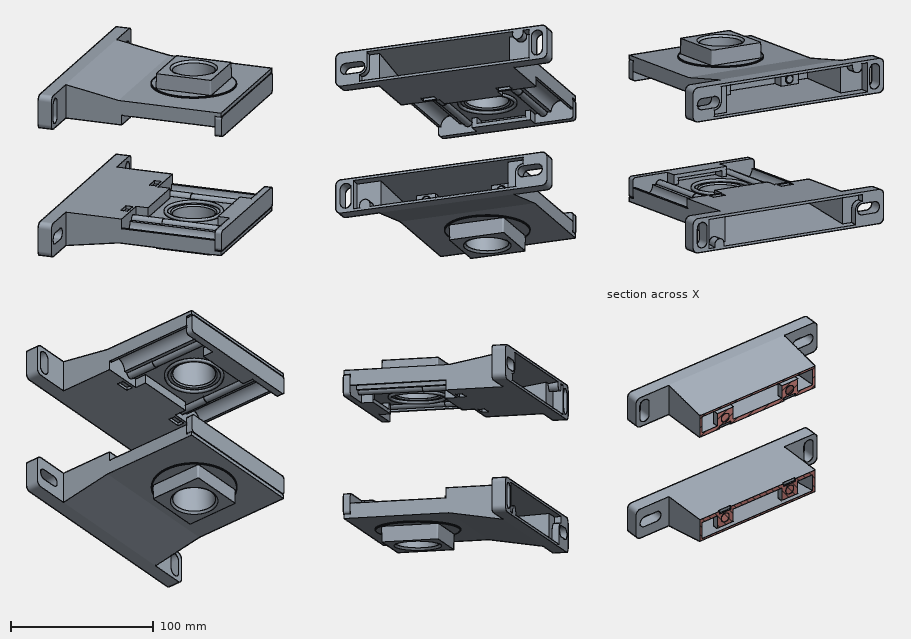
import cadquery as cq
OVERALL_LENGTH = 127.0
OVERALL_HEIGHT = 130.2
HALF_GAP = 35.0
HALF_HEIGHT = OVERALL_HEIGHT / 2 - HALF_GAP

FLANGE_LENGTH = 160.0
FLANGE_HEIGHT = 25.0
FLANGE_THICKNESS = 10.0
FLANGE_CORNER_RADIUS = 4.0
SLOT_WIDTH = 8.2
SLOT_LENGTH = 18.4
FLAT_SLOT_Y = 67.2
UPRIGHT_SLOT_Y = -72.5

WALL = 2.0
FLAT_SIDE_POCKET_DEPTH = 5.0
FAR_SIDE_POCKET_DEPTH = 7.2
POCKET_FLAT_SIDE_Y = 56.3
POCKET_FAR_SIDE_Y = -66.5
SLOT_RELIEF_RADIUS = 5.8
BUMP_WIDTH = 7.8
BUMP_Y = -58.0
BUMP_TIP_Z = 17.1
CAVITY_WIDTH = 97.3
CAVITY_END_X = 50.0
CAVITY_END_FLOOR_Z = 3.7

BODY_WIDTH = 102.0
PLATE_TOP_Z = 18.0
SLOPE_END_X = 50.0
PLATE_OVERHANG_GAP = 0.5
FLOOR_Z = 7.2
FLOOR_START_X = 52.0
TAB_WIDTH = 44.2
BODY_TAB_LENGTH = 9.0
TROUGH_RADIUS = 7.4
TROUGH_Y = 41.8

NOZZLE_X = 87.0
BORE_DIAMETER = 30.2
BORE_CHAMFER = 1.6
BORE_INNER_CHAMFER = 1.1
DISC_DIAMETER = 60.5
DISC_HEIGHT = 1.0
DISC_CHAMFER = 0.5
SQUARE_SIDE = 42.0
SQUARE_CORNER_RADIUS = 1.3
SQUARE_DRAFT = 2.0

RING_OUTER_DIAMETER = 42.0
RING_INNER_DIAMETER = 37.0
RING_SINK = 0.6

PIN_Y = 28.5
PIN_Z = 7.5
PIN_DIAMETER = 6.5
PIN_TIP_DIAMETER = 6.0
PIN_SHOULDER_X = 74.9
PIN_CHAMFER = 0.6
BOSS_WIDTH = 14.4
BOSS_TOP_Z = 14.0
BOSS_START_X = 42.0
NUT_SLOT_WIDTH = 10.0
NUT_SLOT_LENGTH = 5.0
NUT_SLOT_DEPTH = 2.4

CAP_THICKNESS = 5.1
CAP_HEIGHT = 15.0
CAP_CORNER_RADIUS = 2.4
CAP_TAB_LENGTH = 8.5
CAP_LEG_WIDTH = 3.8
CAP_BRIDGE_HEIGHT = 2.7

CAP_X = OVERALL_LENGTH - CAP_THICKNESS
BODY_END_X = OVERALL_LENGTH - PLATE_OVERHANG_GAP
FLANGE_MIDDLE_Z = FLANGE_HEIGHT / 2


def block(x_start, x_end, y_middle, width, z_start, z_end):
    """Box between two X and two Z positions, centred on y_middle."""
    length = x_end - x_start
    height = z_end - z_start
    box = cq.Workplane("XY").box(length, width, height, centered=(False, True, False))
    return box.translate((x_start, y_middle, z_start))


def rod(diameter, x_start, x_end, y, z):
    """Cylinder along X."""
    plane = cq.Workplane("YZ", origin=(x_start, y, z))
    return plane.circle(diameter / 2).extrude(x_end - x_start)


def make_outer_form():
    flange = block(0, FLANGE_THICKNESS, 0, FLANGE_LENGTH, 0, FLANGE_HEIGHT)
    flange = flange.edges("|X").fillet(FLANGE_CORNER_RADIUS)
    side_outline = [
        (FLANGE_THICKNESS, 0),
        (FLANGE_THICKNESS, FLANGE_HEIGHT),
        (SLOPE_END_X, PLATE_TOP_Z),
        (BODY_END_X, PLATE_TOP_Z),
        (BODY_END_X, CAP_HEIGHT),
        (CAP_X, CAP_HEIGHT),
        (CAP_X, FLOOR_Z),
        (FLOOR_START_X, FLOOR_Z),
        (FLOOR_START_X, 0),
    ]
    neck = cq.Workplane("XZ").polyline(side_outline).close().extrude(BODY_WIDTH / 2, both=True)
    tab = block(FLOOR_START_X, FLOOR_START_X + BODY_TAB_LENGTH, 0, TAB_WIDTH, 0, FLOOR_Z)
    return flange.union(neck).union(tab)


def make_flange_slots():
    flat = cq.Workplane("YZ", origin=(0, FLAT_SLOT_Y, FLANGE_MIDDLE_Z))
    flat = flat.slot2D(SLOT_LENGTH, SLOT_WIDTH).extrude(FLANGE_THICKNESS)
    upright = cq.Workplane("YZ", origin=(0, UPRIGHT_SLOT_Y, FLANGE_MIDDLE_Z))
    upright = upright.slot2D(SLOT_LENGTH, SLOT_WIDTH, 90).extrude(FLANGE_THICKNESS)
    return flat.union(upright)


def make_cavity():
    """Hollow with sloping roof and floor, wider where it opens in the flange."""
    top_z = FLANGE_HEIGHT - WALL
    relief_y = POCKET_FLAT_SIDE_Y + SLOT_RELIEF_RADIUS
    relief_z = FLANGE_MIDDLE_Z - SLOT_RELIEF_RADIUS
    diagonal = SLOT_RELIEF_RADIUS * 0.5 ** 0.5
    bump_radius = BUMP_WIDTH / 2
    bump_centre_z = BUMP_TIP_Z + bump_radius
    opening = (
        cq.Workplane("YZ")
        .moveTo(POCKET_FLAT_SIDE_Y, top_z)
        .lineTo(POCKET_FLAT_SIDE_Y, FLANGE_MIDDLE_Z)
        .threePointArc((relief_y - diagonal, FLANGE_MIDDLE_Z - diagonal), (relief_y, relief_z))
        .lineTo(relief_y, WALL)
        .lineTo(POCKET_FAR_SIDE_Y, WALL)
        .lineTo(POCKET_FAR_SIDE_Y, top_z)
        .lineTo(BUMP_Y - bump_radius, top_z)
        .lineTo(BUMP_Y - bump_radius, bump_centre_z)
        .threePointArc((BUMP_Y, BUMP_TIP_Z), (BUMP_Y + bump_radius, bump_centre_z))
        .lineTo(BUMP_Y + bump_radius, top_z)
        .close()
        .extrude(FAR_SIDE_POCKET_DEPTH)
    )
    flat_side_back = block(
        FLAT_SIDE_POCKET_DEPTH, FAR_SIDE_POCKET_DEPTH, FLANGE_LENGTH / 4, FLANGE_LENGTH / 2, 0, FLANGE_HEIGHT
    )
    opening = opening.cut(flat_side_back)
    deep_part = block(0, CAVITY_END_X, 0, CAVITY_WIDTH, 0, FLANGE_HEIGHT)
    slopes = (
        cq.Workplane("XZ")
        .polyline([
            (0, WALL),
            (0, top_z),
            (CAVITY_END_X, PLATE_TOP_Z - WALL),
            (CAVITY_END_X, CAVITY_END_FLOOR_Z),
        ])
        .close()
        .extrude(FLANGE_LENGTH / 2, both=True)
    )
    return opening.union(deep_part).intersect(slopes)


def add_nozzle(body):
    disc = cq.Workplane("XY", origin=(NOZZLE_X, 0, PLATE_TOP_Z)).circle(DISC_DIAMETER / 2)
    disc = disc.extrude(DISC_HEIGHT).faces(">Z").chamfer(DISC_CHAMFER)
    square = (
        cq.Workplane("XY", origin=(NOZZLE_X, 0, PLATE_TOP_Z))
        .sketch()
        .rect(SQUARE_SIDE, SQUARE_SIDE)
        .vertices()
        .fillet(SQUARE_CORNER_RADIUS)
        .finalize()
        .extrude(HALF_HEIGHT - PLATE_TOP_Z, taper=SQUARE_DRAFT)
    )
    return body.union(disc).union(square)


def make_bore():
    """Through bore, flared at both ends."""
    radius = BORE_DIAMETER / 2
    section = [
        (0, FLOOR_Z),
        (radius + BORE_INNER_CHAMFER, FLOOR_Z),
        (radius, FLOOR_Z + BORE_INNER_CHAMFER),
        (radius, HALF_HEIGHT - BORE_CHAMFER),
        (radius + BORE_CHAMFER, HALF_HEIGHT),
        (0, HALF_HEIGHT),
    ]
    bore = cq.Workplane("XZ").polyline(section).close().revolve(360, (0, 0), (0, 1))
    return bore.translate((NOZZLE_X, 0, 0))


def make_o_ring():
    """Ring seated in a matching groove in the plate floor."""
    ring_radius = (RING_OUTER_DIAMETER + RING_INNER_DIAMETER) / 4
    cord_radius = (RING_OUTER_DIAMETER - RING_INNER_DIAMETER) / 4
    torus = cq.Solid.makeTorus(ring_radius, cord_radius)
    return cq.Workplane(torus).translate((NOZZLE_X, 0, FLOOR_Z + RING_SINK - cord_radius))


def make_pin(y):
    """Stepped pin along X, about half sunk in the plate floor."""
    shank = rod(PIN_DIAMETER, BOSS_START_X, PIN_SHOULDER_X, y, PIN_Z)
    shank = shank.faces("<X").chamfer(PIN_CHAMFER)
    return shank.union(rod(PIN_TIP_DIAMETER, PIN_SHOULDER_X, CAP_X, y, PIN_Z))


def make_cap():
    """End plate with a bridge on two legs that stand on the plate floor."""
    cap = block(CAP_X, OVERALL_LENGTH, 0, BODY_WIDTH, 0, CAP_HEIGHT)
    cap = cap.edges("|X").fillet(CAP_CORNER_RADIUS)
    tab_start = CAP_X - CAP_TAB_LENGTH
    tab = block(tab_start, CAP_X, 0, TAB_WIDTH, 0, FLOOR_Z)
    opening_width = TAB_WIDTH - 2 * CAP_LEG_WIDTH
    opening = block(tab_start, CAP_X, 0, opening_width, CAP_BRIDGE_HEIGHT, FLOOR_Z)
    return cap.union(tab.cut(opening))


def make_body(pins, o_ring):
    body = make_outer_form().cut(make_flange_slots()).cut(make_cavity())
    body = add_nozzle(body).cut(make_bore()).cut(o_ring)
    for side in (-1, 1):
        trough = rod(2 * TROUGH_RADIUS, FLOOR_START_X, CAP_X, side * TROUGH_Y, FLOOR_Z)
        boss = block(BOSS_START_X, CAVITY_END_X, side * PIN_Y, BOSS_WIDTH, WALL, BOSS_TOP_Z)
        nut_slot = block(
            CAVITY_END_X - NUT_SLOT_LENGTH, CAVITY_END_X, side * PIN_Y, NUT_SLOT_WIDTH, 0, NUT_SLOT_DEPTH
        )
        body = body.union(boss).cut(trough).cut(nut_slot)
    for pin in pins:
        body = body.cut(pin)
    return body


pins = [make_pin(side * PIN_Y) for side in (-1, 1)]
o_ring = make_o_ring()
cap = make_cap()
body = make_body(pins, o_ring)

solids = []
for part in [body, cap, o_ring, *pins]:
    upper = part.translate((0, 0, HALF_GAP))
    lower = upper.rotate((0, 0, 0), (1, 0, 0), 180)
    solids += [upper.val(), lower.val()]

result = cq.Compound.makeCompound(solids)